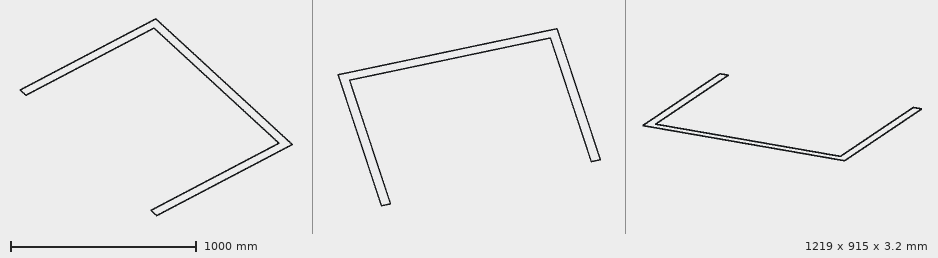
import cadquery as cq

length = 1219.0
depth = 915.0
thickness = 3.2

bar_width = 51.0

opening_length = length - 2 * bar_width
opening_depth = depth - bar_width

plate = cq.Workplane("XY").box(length, depth, thickness)

opening = (
    cq.Workplane("XY")
    .box(opening_length, opening_depth, thickness)
    .translate((0, -bar_width / 2, 0))
)

result = plate.cut(opening)